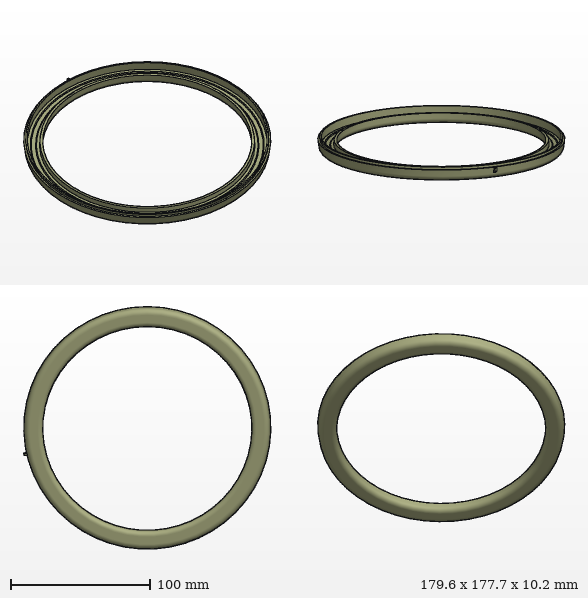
import cadquery as cq

total_length = 179.6
outer_radius = 177.7 / 2
height = 10.2

rim_outer_radius = 174.8 / 2
rim_inner_radius = 172.5 / 2
shoulder_z = 8.5
wall_base_radius = 88.2
wall_base_z = 3.8
bottom_radius = 84.2
corner_mid_radius = 87.0
corner_mid_z = 1.0

floor_z = 4.1
band_depth = 0.5
band_outer_radius = 84.0
band_inner_radius = 79.5
band_slope_width = 0.7

lip_z = 7.7
lip_outer_radius = 77.5
lip_draft = 0.4
bore_radius = 75.0
bore_bottom_fillet = 3.5

nub_width = 1.6
nub_top_z = 8.0
nub_tip_bottom_z = 6.1
nub_base_z = 4.3
nub_tip_x = outer_radius - total_length
nub_root_x = -(rim_inner_radius + rim_outer_radius) / 2
nub_base_x = -wall_base_radius


def make_ring():
    """Revolve the channel-shaped cross section about Z."""
    band_z = floor_z - band_depth
    profile = (
        cq.Workplane("XZ")
        .moveTo(bore_radius, 0)
        .lineTo(bottom_radius, 0)
        .threePointArc((corner_mid_radius, corner_mid_z), (wall_base_radius, wall_base_z))
        .lineTo(outer_radius, shoulder_z)
        .lineTo(rim_outer_radius, shoulder_z)
        .lineTo(rim_outer_radius, height)
        .lineTo(rim_inner_radius, height)
        .lineTo(rim_inner_radius, floor_z)
        .lineTo(band_outer_radius, floor_z)
        .lineTo(band_outer_radius - band_slope_width, band_z)
        .lineTo(band_inner_radius + band_slope_width, band_z)
        .lineTo(band_inner_radius, floor_z)
        .lineTo(lip_outer_radius, floor_z)
        .lineTo(lip_outer_radius - lip_draft, lip_z)
        .lineTo(bore_radius, lip_z)
        .close()
    )
    ring = profile.revolve(360, (0, 0, 0), (0, 1, 0))
    bore_bottom_edge = cq.selectors.RadiusNthSelector(0)
    return ring.faces("<Z").edges(bore_bottom_edge).fillet(bore_bottom_fillet)


def make_nub():
    """Small block with a sloping underside, rooted in the outer wall."""
    outline = [
        (nub_root_x, nub_top_z),
        (nub_tip_x, nub_top_z),
        (nub_tip_x, nub_tip_bottom_z),
        (nub_base_x, nub_base_z),
        (nub_root_x, nub_base_z),
    ]
    return cq.Workplane("XZ").polyline(outline).close().extrude(nub_width / 2, both=True)


result = make_ring().union(make_nub())